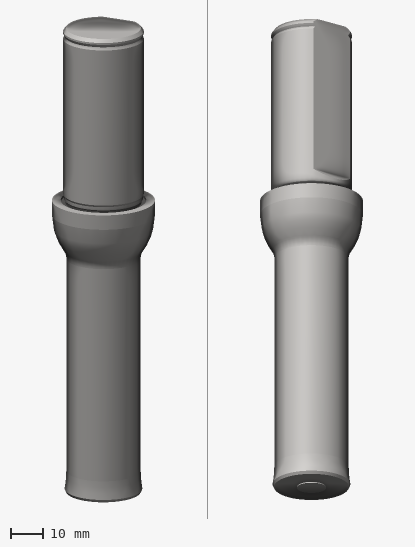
import cadquery as cq

total_height = 151.0
collar_top = 95.0
collar_bottom = 90.3
bulge_bottom = 76.1

shank_radius = 25.0 / 2
neck_radius = 24.5 / 2
neck_top = 97.1
neck_bevel_height = 0.6
neck_bottom = 95.5
root_radius = 11.8
top_bevel_height = 1.0
top_bevel_width = 0.9
groove_top = 149.3
groove_bottom = 147.5
groove_depth = 0.5
flat_offset = 10.3
flat_end = 101.0

collar_radius = 32.0 / 2
tube_radius = 23.1 / 2
bulge_fillet = 5.3
foot_radius = 12.1
foot_top = 7.1
foot_bevel_top = 1.2
foot_bevel_width = 0.5
foot_base = 0.3
boss_radius = 4.5
seat_radius = 26.6 / 2
seat_depth = 0.8
shank_bottom = collar_top - seat_depth


def revolve_profile(profile):
    """Turn a closed (radius, height) profile around the Z axis."""
    return profile.close().revolve(360, (0, 0, 0), (0, 1, 0))


def make_shank():
    """Turned shank with an undercut neck, a retaining groove and one flat."""
    groove_middle = (groove_top + groove_bottom) / 2
    turned = revolve_profile(
        cq.Workplane("XZ")
        .moveTo(0, shank_bottom)
        .lineTo(root_radius, shank_bottom)
        .lineTo(root_radius, collar_top)
        .lineTo(neck_radius, neck_bottom)
        .lineTo(neck_radius, neck_top - neck_bevel_height)
        .lineTo(shank_radius, neck_top)
        .lineTo(shank_radius, groove_bottom)
        .lineTo(shank_radius - groove_depth, groove_middle)
        .lineTo(shank_radius, groove_top)
        .lineTo(shank_radius, total_height - top_bevel_height)
        .lineTo(shank_radius - top_bevel_width, total_height)
        .lineTo(0, total_height)
    )
    return turned.cut(make_flat_cutter())


def make_flat_cutter():
    """Block behind the +Y flat, with a 45 degree run-out at its lower end."""
    reach = collar_radius - flat_offset
    return (
        cq.Workplane("YZ")
        .moveTo(flat_offset, flat_end)
        .lineTo(flat_offset, total_height)
        .lineTo(collar_radius, total_height)
        .lineTo(collar_radius, flat_end - reach)
        .close()
        .extrude(collar_radius, both=True)
    )


def make_holder():
    """Turned holder: recessed seat, collar, rounded bulge, tube and flared foot."""
    bulge_height = collar_bottom - bulge_bottom
    fillet_center_x = tube_radius + bulge_fillet
    overhang = fillet_center_x - collar_radius
    bulge_radius = (overhang**2 + bulge_height**2 - bulge_fillet**2) / (2 * (bulge_fillet - overhang))
    bulge_center_x = collar_radius - bulge_radius
    share = bulge_radius / (bulge_radius + bulge_fillet)
    joint_x = bulge_center_x + share * (fillet_center_x - bulge_center_x)
    joint_z = collar_bottom - share * bulge_height

    return revolve_profile(
        cq.Workplane("XZ")
        .moveTo(0, shank_bottom)
        .lineTo(seat_radius, shank_bottom)
        .lineTo(seat_radius, collar_top)
        .lineTo(collar_radius, collar_top)
        .lineTo(collar_radius, collar_bottom)
        .tangentArcPoint((joint_x, joint_z), relative=False)
        .tangentArcPoint((tube_radius, bulge_bottom), relative=False)
        .lineTo(tube_radius, foot_top)
        .tangentArcPoint((foot_radius, foot_bevel_top), relative=False)
        .lineTo(foot_radius - foot_bevel_width, foot_base)
        .lineTo(boss_radius, foot_base)
        .lineTo(boss_radius, 0)
        .lineTo(0, 0)
    )


shank = make_shank()
holder = make_holder()

result = cq.Compound.makeCompound([shank.val(), holder.val()])